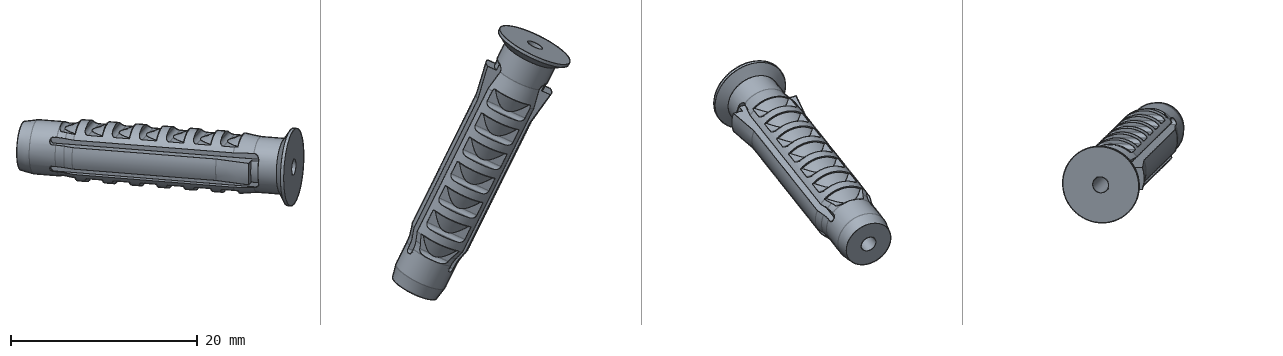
import cadquery as cq
import math

length = 30.0
bore_diameter = 1.75

tip_radius = 2.65
tip_length = 1.47
barrel_radius = 2.925
barrel_end = 4.35

shoulder_arc_end = 5.35
shoulder_angle = 14.3
body_radius = 3.3

body_taper_start = 24.03
body_taper_end = 26.2
collar_radius = 3.0
head_cone_start = 28.85
head_lip = 0.35
head_radius = 4.17

tongue_width = 2.4
flare_start = 22.23
flare_end = 26.0
flare_radius = 3.9

slot_width = 0.72
slot_start = 3.63
slot_end = 26.82
slot_corner_radius = 0.63
slot_floor_y = 1.98

notch_count = 7
notch_pitch = 3.0
notch_start = 4.35
notch_length = 2.0
notch_floor = 2.43
notch_fillet = 0.48
barb_cone_length = 1.68
barb_radius = 3.15

shoulder_slope = math.radians(shoulder_angle)
shoulder_arc_radius = (shoulder_arc_end - barrel_end) / math.sin(shoulder_slope)
shoulder_arc_top = barrel_radius + shoulder_arc_radius * (1 - math.cos(shoulder_slope))
shoulder_end = shoulder_arc_end + (body_radius - shoulder_arc_top) / math.tan(shoulder_slope)

slot_outer_z = tongue_width / 2 + slot_width
clearance = 2 * head_radius


def revolve_about_x(profile):
    """Close a half profile and spin it around the plug axis."""
    return profile.close().revolve(360, (0, 0, 0), (1, 0, 0))


def add_shoulder(profile):
    """Continue a profile from the barrel end up the shoulder to the body radius."""
    arc_mid = (
        barrel_end + shoulder_arc_radius * math.sin(shoulder_slope / 2),
        barrel_radius + shoulder_arc_radius * (1 - math.cos(shoulder_slope / 2)),
    )
    return (
        profile.threePointArc(arc_mid, (shoulder_arc_end, shoulder_arc_top))
        .lineTo(shoulder_end, body_radius)
    )


def make_body():
    """Solid plug from tip to countersunk head."""
    profile = (
        cq.Workplane("XY")
        .moveTo(0, 0)
        .lineTo(0, tip_radius)
        .lineTo(tip_length, barrel_radius)
        .lineTo(barrel_end, barrel_radius)
    )
    profile = (
        add_shoulder(profile)
        .lineTo(body_taper_start, body_radius)
        .lineTo(body_taper_end, collar_radius)
        .lineTo(head_cone_start, collar_radius)
        .lineTo(length - head_lip, head_radius)
        .lineTo(length, head_radius)
        .lineTo(length, 0)
    )
    return revolve_about_x(profile)


def make_barb_cones():
    """Cones that rise from the notch floor to the back wall of each notch."""
    cones = cq.Workplane("XY")
    for index in range(notch_count):
        cone_end = notch_start + notch_length + index * notch_pitch
        cone_start = cone_end - barb_cone_length
        profile = (
            cq.Workplane("XY")
            .moveTo(cone_start, 0)
            .lineTo(cone_start, notch_floor)
            .lineTo(cone_end, barb_radius)
            .lineTo(cone_end, 0)
        )
        cones = cones.add(revolve_about_x(profile))
    return cones.combine()


def make_notches():
    """Cuts across the top and bottom, each leaving a conical barb standing on its floor."""
    cutters = cq.Workplane("XY")
    for index in range(notch_count):
        front = notch_start + index * notch_pitch
        upper = (
            cq.Workplane("XY")
            .box(notch_length, clearance, clearance, centered=(False, True, False))
            .edges("<X and <Z")
            .fillet(notch_fillet)
            .translate((front, 0, notch_floor))
        )
        cutters = cutters.add(upper).add(upper.mirror("XY"))
    return cutters.combine().cut(make_barb_cones())


def make_side_pockets():
    """Blind pockets from -Y and +Y that clear the slots and the space taken by the tongues."""
    slot_radius = slot_width / 2
    full_start = slot_start + slot_radius
    outline = (
        cq.Workplane("XZ")
        .moveTo(full_start, slot_outer_z)
        .lineTo(slot_end - slot_corner_radius, slot_outer_z)
        .radiusArc((slot_end, slot_outer_z - slot_corner_radius), slot_corner_radius)
        .lineTo(slot_end, slot_corner_radius - slot_outer_z)
        .radiusArc((slot_end - slot_corner_radius, -slot_outer_z), slot_corner_radius)
        .lineTo(full_start, -slot_outer_z)
        .threePointArc((slot_start, slot_radius - slot_outer_z), (full_start, -tongue_width / 2))
        .lineTo(full_start, tongue_width / 2)
        .threePointArc((slot_start, slot_outer_z - slot_radius), (full_start, slot_outer_z))
        .close()
    )
    front_pocket = outline.extrude(clearance).translate((0, -slot_floor_y, 0))
    return front_pocket.add(front_pocket.mirror("XZ")).combine()


def make_tongues():
    """Flared tongues that fill the middle of the side pockets."""
    profile = cq.Workplane("XY").moveTo(slot_start, 0).lineTo(slot_start, barrel_radius)
    profile = (
        add_shoulder(profile.lineTo(barrel_end, barrel_radius))
        .lineTo(flare_start, body_radius)
        .lineTo(flare_end, flare_radius)
        .lineTo(flare_end, barrel_radius)
        .lineTo(slot_end, barrel_radius)
        .lineTo(slot_end, 0)
    )
    strip = cq.Workplane("XY").box(length, clearance, tongue_width, centered=(False, True, True))
    return revolve_about_x(profile).intersect(strip)


bore = cq.Workplane("YZ").circle(bore_diameter / 2).extrude(length)

result = (
    make_body()
    .cut(make_notches())
    .cut(make_side_pockets())
    .union(make_tongues())
    .cut(bore)
)